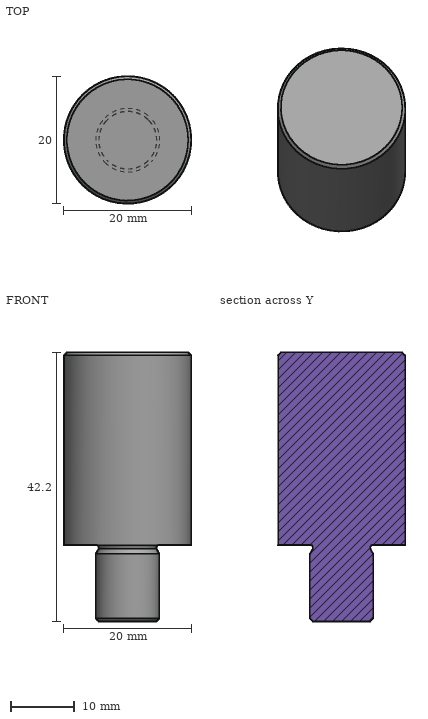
import cadquery as cq
import math

head_radius = 10.0
head_height = 30.2
head_chamfer = 0.5

stud_radius = 5.0
stud_length = 12.0
stud_chamfer = 0.5

neck_radius = 4.55
neck_fillet = 0.4
neck_land = 0.2
relief_angle = math.radians(30)

relief_height = (stud_radius - neck_radius) / math.tan(relief_angle)


def make_head():
    """Head standing on Z = 0."""
    head = cq.Workplane("XY").circle(head_radius).extrude(head_height)
    return head.faces(">Z").chamfer(head_chamfer)


def make_stud():
    """Stud with its undercut and end chamfer, hanging below Z = 0."""
    land_top = -neck_fillet
    land_bottom = land_top - neck_land
    relief_bottom = land_bottom - relief_height
    arc_inset = neck_fillet * (1 - math.sqrt(0.5))

    profile = (
        cq.Workplane("XZ")
        .moveTo(0, 0)
        .lineTo(neck_radius + neck_fillet, 0)
        .threePointArc((neck_radius + arc_inset, -arc_inset), (neck_radius, land_top))
        .lineTo(neck_radius, land_bottom)
        .lineTo(stud_radius, relief_bottom)
        .lineTo(stud_radius, stud_chamfer - stud_length)
        .lineTo(stud_radius - stud_chamfer, -stud_length)
        .lineTo(0, -stud_length)
        .close()
    )
    return profile.revolve(360, (0, 0, 0), (0, 1, 0))


result = make_head().union(make_stud())